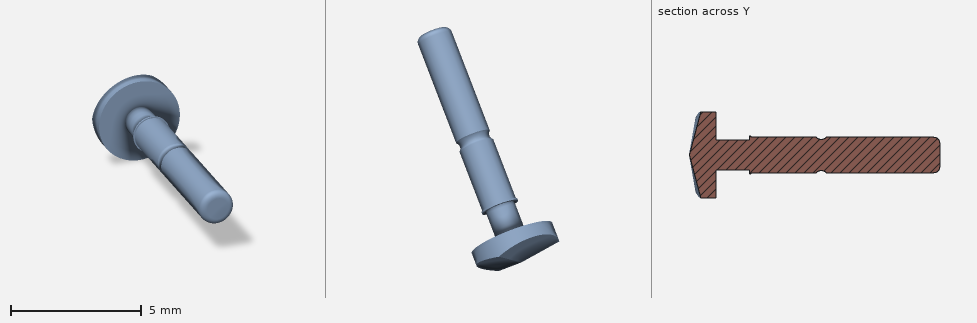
import cadquery as cq
import math

LENGTH = 9.6
HEAD_RADIUS = 1.65
HEAD_END = 1.02
NECK_RADIUS = 0.59
SHANK_RADIUS = 0.69
SHANK_START = 2.29
COLLAR_RADIUS = 0.74
COLLAR_WIDTH = 0.07
GROOVE_CENTER = 5.05
GROOVE_WIDTH = 0.37
GROOVE_DEPTH = 0.09
TIP_FILLET = 0.25

FACET_COUNT = 3
FACET_ANGLE = 17.0
FLAT_INRADIUS = 0.034


def cylinder(start, end, radius):
    return cq.Workplane("YZ", origin=(start, 0, 0)).circle(radius).extrude(end - start)


def make_head():
    """Disc intersected with a blunt three-sided pyramid; one facet faces +Y."""
    pyramid_inradius = FLAT_INRADIUS + HEAD_END / math.tan(math.radians(FACET_ANGLE))
    corner_diameter = 2 * pyramid_inradius / math.cos(math.pi / FACET_COUNT)
    pyramid = (
        cq.Workplane("YZ", origin=(HEAD_END, 0, 0))
        .transformed(rotate=(0, 0, 180))
        .polygon(FACET_COUNT, corner_diameter)
        .extrude(-HEAD_END, taper=90 - FACET_ANGLE)
    )
    return cylinder(0, HEAD_END, HEAD_RADIUS).intersect(pyramid)


def make_shank():
    """Revolved shank with a round-bottomed groove and a rounded far end."""
    groove_start = GROOVE_CENTER - GROOVE_WIDTH / 2
    groove_end = GROOVE_CENTER + GROOVE_WIDTH / 2
    shank = (
        cq.Workplane("XY")
        .moveTo(SHANK_START, 0)
        .lineTo(SHANK_START, SHANK_RADIUS)
        .lineTo(groove_start, SHANK_RADIUS)
        .threePointArc((GROOVE_CENTER, SHANK_RADIUS - GROOVE_DEPTH), (groove_end, SHANK_RADIUS))
        .lineTo(LENGTH, SHANK_RADIUS)
        .lineTo(LENGTH, 0)
        .close()
        .revolve(360, (0, 0, 0), (1, 0, 0))
    )
    return shank.faces(">X").edges().fillet(TIP_FILLET)


neck = cylinder(HEAD_END, SHANK_START, NECK_RADIUS)
collar = cylinder(SHANK_START, SHANK_START + COLLAR_WIDTH, COLLAR_RADIUS)

result = make_head().union(neck).union(make_shank()).union(collar)